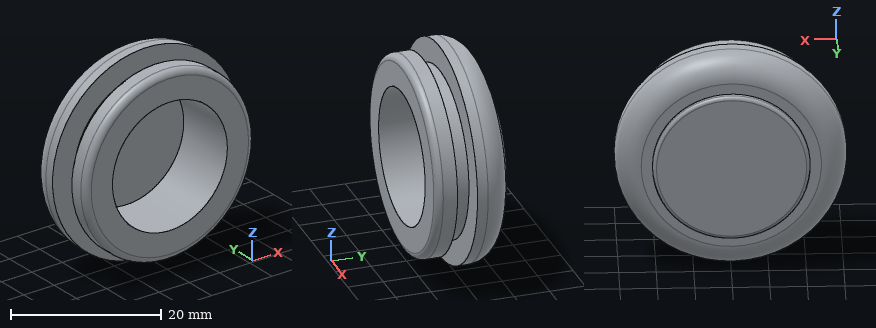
import cadquery as cq

lip_radius = 14.0
lip_width = 3.0
lip_fillet = 1.0

groove_radius = 12.0
groove_width = 2.3

head_radius = 15.5
head_width = 5.0
head_fillet = 3.5

cap_radius = 10.5
cap_height = 1.0
cap_fillet = 0.5

bore_radius = 9.5
floor_thickness = 1.5

groove_start = lip_width
head_start = groove_start + groove_width
cap_start = head_start + head_width
bore_depth = cap_start + cap_height - floor_thickness


def disc(start, radius, width):
    """Solid disc about the Y axis, reaching from start towards +Y."""
    return cq.Workplane("XZ", origin=(0, start, 0)).circle(radius).extrude(-width)


def lip():
    """Retaining lip with its open-face rim rounded."""
    return disc(0, lip_radius, lip_width).faces("<Y").edges().fillet(lip_fillet)


def head():
    """Wide head with its closed-side rim rounded."""
    return disc(head_start, head_radius, head_width).faces(">Y").edges().fillet(head_fillet)


def cap():
    """Low raised disc on the closed side with its rim rounded."""
    return disc(cap_start, cap_radius, cap_height).faces(">Y").edges().fillet(cap_fillet)


groove = disc(groove_start, groove_radius, groove_width)
bore = disc(0, bore_radius, bore_depth)

result = lip().union(groove).union(head()).union(cap()).cut(bore)